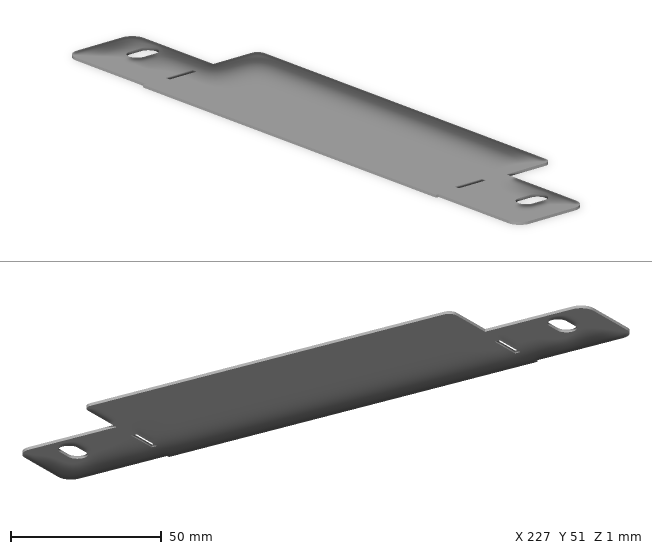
import cadquery as cq

length = 227.0
width = 51.0
thickness = 1.0

panel_length = 147.0
panel_corner_radius = 3.0
tab_width = 30.0
tab_corner_radius = 5.0
tab_step = 1.1
tab_center_y = -width / 2 + tab_step + tab_width / 2

hole_width = 7.0
hole_length = 12.0
hole_end_distance = 16.0
hole_back_distance = 10.0
hole_x = length / 2 - hole_end_distance
hole_y = tab_center_y + tab_width / 2 - hole_back_distance

slot_width = 2.0
slot_length = 12.0
slot_x = panel_length / 2 - slot_width / 2


def make_panel():
    """Central panel with its two back corners rounded."""
    panel = cq.Workplane("XY").rect(panel_length, width).extrude(thickness)
    return panel.edges("|Z and >Y").fillet(panel_corner_radius)


def make_tab_strip():
    """Full-length strip whose rounded ends form the mounting tabs."""
    strip = cq.Workplane("XY").center(0, tab_center_y).rect(length, tab_width).extrude(thickness)
    return strip.edges("|Z").fillet(tab_corner_radius)


def make_mounting_holes():
    """Cutters for the rounded holes, one in each tab."""
    centers = [(-hole_x, hole_y), (hole_x, hole_y)]
    return cq.Workplane("XY").pushPoints(centers).slot2D(hole_length, hole_width, 90).extrude(thickness)


def make_slots():
    """Cutters for the narrow slots, centred across the tab width."""
    centers = [(-slot_x, tab_center_y), (slot_x, tab_center_y)]
    return cq.Workplane("XY").pushPoints(centers).rect(slot_width, slot_length).extrude(thickness)


plate = make_panel().union(make_tab_strip()).clean()
result = plate.cut(make_mounting_holes()).cut(make_slots())